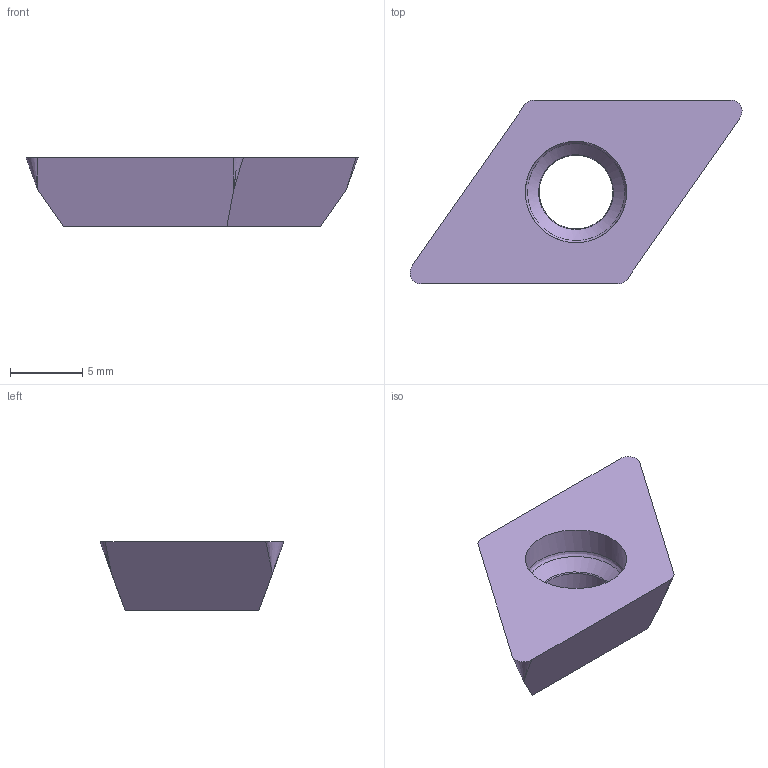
import cadquery as cq
import math

thickness = 4.76
inscribed_diameter = 12.7
acute_angle = math.radians(55)
relief_angle = math.radians(20)
corner_radius = 0.8

seat_radius = 3.5
seat_depth = 2.0
bore_radius = 2.55
seat_blend_radius = 0.5
bore_blend_radius = 0.15

cone_bottom_depth = seat_depth + (seat_radius - bore_radius)
corner_cone_depth = corner_radius / math.tan(relief_angle)
side_inset = thickness * math.tan(relief_angle)


def rhombus_points(inset):
    """Corners of the outline moved inward by inset, counterclockwise from lower left."""
    half_height = inscribed_diameter / 2 - inset
    half_side = half_height / math.sin(acute_angle)
    lean = half_side * math.cos(acute_angle)
    return [
        (-half_side - lean, -half_height),
        (half_side - lean, -half_height),
        (half_side + lean, half_height),
        (-half_side + lean, half_height),
    ]


def sharp_body():
    return (
        cq.Workplane("XY")
        .polyline(rhombus_points(side_inset))
        .close()
        .workplane(offset=thickness)
        .polyline(rhombus_points(0))
        .close()
        .loft(ruled=True, combine=True)
    )


def toward(start, end, distance):
    """Point at the given distance from start on the line to end."""
    ratio = distance / math.dist(start, end)
    return tuple(a + (b - a) * ratio for a, b in zip(start, end))


def corner_waste(index):
    """Material between the sharp corner and the cone that rounds it."""
    sharp = rhombus_points(0)
    vertex = sharp[index]
    center = rhombus_points(corner_radius)[index]
    tangent_length = math.sqrt(math.dist(vertex, center) ** 2 - corner_radius**2)
    tangent_before = toward(vertex, sharp[index - 1], tangent_length)
    tangent_after = toward(vertex, sharp[(index + 1) % len(sharp)], tangent_length)

    base = [(x, y, thickness) for x, y in (center, tangent_before, vertex, tangent_after)]
    apex = (*center, thickness - corner_cone_depth)
    faces = [cq.Face.makeFromWires(cq.Wire.makePolygon(base, close=True))]
    for start, end in zip(base, base[1:] + base[:1]):
        faces.append(cq.Face.makeFromWires(cq.Wire.makePolygon([start, end, apex], close=True)))
    wedge = cq.Solid.makeSolid(cq.Shell.makeShell(faces))
    cone = cq.Solid.makeCone(0, corner_radius, corner_cone_depth, pnt=cq.Vector(*apex))
    return wedge.cut(cone)


def screw_hole():
    seat_corner = (seat_radius, thickness - seat_depth)
    bore_corner = (bore_radius, thickness - cone_bottom_depth)
    hole = (
        cq.Workplane("XZ")
        .moveTo(0, 0)
        .lineTo(bore_radius, 0)
        .lineTo(*bore_corner)
        .lineTo(*seat_corner)
        .lineTo(seat_radius, thickness)
        .lineTo(0, thickness)
        .close()
        .revolve(360, (0, 0, 0), (0, 1, 0))
    )
    hole = hole.edges(cq.selectors.RadiusNthSelector(0)).edges(">Z").fillet(bore_blend_radius)
    return hole.edges(cq.selectors.RadiusNthSelector(-1)).edges("<Z").fillet(seat_blend_radius)


result = sharp_body()
for corner in range(len(rhombus_points(0))):
    result = result.cut(cq.Workplane(corner_waste(corner)))
result = result.cut(screw_hole())